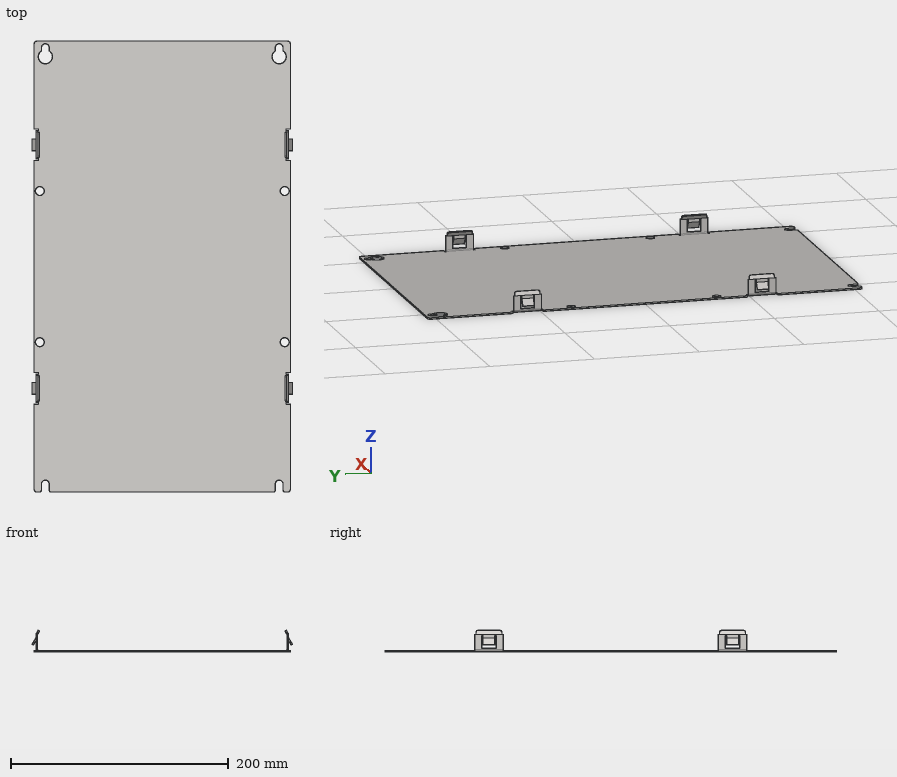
import cadquery as cq
import math

PLATE_WIDTH = 236.0
PLATE_LENGTH = 415.0
SHEET = 1.5
CORNER_RADIUS = 3.0
HALF_WIDTH = PLATE_WIDTH / 2
HALF_LENGTH = PLATE_LENGTH / 2

OVERALL_WIDTH = 239.58
OVERALL_HEIGHT = 19.96

MOUNT_X = 107.5
SLOT_WIDTH = 7.0
KEYHOLE_DIAMETER = 12.8
KEYHOLE_Y = HALF_LENGTH - 14.5
KEYHOLE_NECK_Y = HALF_LENGTH - 6.2
OPEN_SLOT_DEPTH = 11.0
SLOT_MOUTH_RADIUS = 2.0

SIDE_HOLE_DIAMETER = 8.0
SIDE_HOLE_X = HALF_WIDTH - 5.4
SIDE_HOLE_Y = 69.5

LEAN_ANGLE = math.radians(30.0)
CLIP_Y = 112.0
CLIP_WIDTH = 26.4
CLIP_INSET = 1.7
RELIEF_GAP = 1.2
INNER_BEND_RADIUS = 0.8
BEND_RADIUS = SHEET + INNER_BEND_RADIUS
LIP_START_Z = 16.2
LIP_INNER_START_Z = LIP_START_Z - SHEET * math.tan(LEAN_ANGLE / 2)
LIP_WIDTH = 24.0
LIP_CORNER_RADIUS = 2.0
CLIP_OUTER_X = HALF_WIDTH - CLIP_INSET
CLIP_INNER_X = CLIP_OUTER_X - SHEET
BEND_X = CLIP_OUTER_X - BEND_RADIUS

WINDOW_WIDTH = 13.0
WINDOW_BOTTOM_Z = 3.5
WINDOW_TOP_Z = 15.0
TONGUE_WIDTH = 11.0
TONGUE_TIP_Z = 7.0
TONGUE_REACH = OVERALL_WIDTH / 2 - CLIP_OUTER_X
TONGUE_ROOT_Z = TONGUE_TIP_Z + TONGUE_REACH / math.tan(LEAN_ANGLE)


def both_sides(solid):
    """Join a solid with its mirror image across the YZ plane."""
    return solid.union(solid.mirror("YZ"))


def extrude_along_y(outline, width):
    """Extrude an XZ outline symmetrically about Y = 0."""
    return outline.extrude(width / 2, both=True)


def box_between(x_min, x_max, width, z_min, z_max):
    """Box centred on Y = 0."""
    box = cq.Workplane("XY").box(x_max - x_min, width, z_max - z_min, centered=(False, True, False))
    return box.translate((x_min, 0, z_min))


def make_plate():
    plate = cq.Workplane("XY").rect(PLATE_WIDTH, PLATE_LENGTH).extrude(SHEET)
    return plate.edges("|Z").fillet(CORNER_RADIUS)


def cut_keyholes(plate):
    bulb = cq.Workplane("XY").center(MOUNT_X, KEYHOLE_Y).circle(KEYHOLE_DIAMETER / 2).extrude(SHEET)
    neck_length = KEYHOLE_NECK_Y - KEYHOLE_Y
    neck = (
        cq.Workplane("XY")
        .center(MOUNT_X, KEYHOLE_Y + neck_length / 2)
        .slot2D(neck_length + SLOT_WIDTH, SLOT_WIDTH, 90)
        .extrude(SHEET)
    )
    return plate.cut(both_sides(bulb.union(neck)))


def cut_open_slots(plate):
    left = MOUNT_X - SLOT_WIDTH / 2
    right = MOUNT_X + SLOT_WIDTH / 2
    slot_top = OPEN_SLOT_DEPTH - HALF_LENGTH
    arc_start = slot_top - SLOT_WIDTH / 2
    mouth_top = SLOT_MOUTH_RADIUS - HALF_LENGTH
    slot = (
        cq.Workplane("XY")
        .moveTo(left - SLOT_MOUTH_RADIUS, -HALF_LENGTH)
        .radiusArc((left, mouth_top), -SLOT_MOUTH_RADIUS)
        .lineTo(left, arc_start)
        .threePointArc((MOUNT_X, slot_top), (right, arc_start))
        .lineTo(right, mouth_top)
        .radiusArc((right + SLOT_MOUTH_RADIUS, -HALF_LENGTH), -SLOT_MOUTH_RADIUS)
        .close()
        .extrude(SHEET)
    )
    return plate.cut(both_sides(slot))


def cut_side_holes(plate):
    centres = [(x, y) for x in (-SIDE_HOLE_X, SIDE_HOLE_X) for y in (-SIDE_HOLE_Y, SIDE_HOLE_Y)]
    holes = cq.Workplane("XY").pushPoints(centres).circle(SIDE_HOLE_DIAMETER / 2).extrude(SHEET)
    return plate.cut(holes)


def make_wall():
    """Bend rising out of the plate and the upright wall above it."""
    outline = (
        cq.Workplane("XZ")
        .moveTo(BEND_X, 0)
        .radiusArc((CLIP_OUTER_X, BEND_RADIUS), -BEND_RADIUS)
        .lineTo(CLIP_OUTER_X, LIP_START_Z)
        .lineTo(CLIP_INNER_X, LIP_INNER_START_Z)
        .lineTo(CLIP_INNER_X, BEND_RADIUS)
        .radiusArc((BEND_X, SHEET), INNER_BEND_RADIUS)
        .close()
    )
    return extrude_along_y(outline, CLIP_WIDTH)


def make_lip():
    """Narrower lip leaning inward from the top of the wall, with rounded corners."""
    outer_x = CLIP_OUTER_X - (OVERALL_HEIGHT - LIP_START_Z) * math.tan(LEAN_ANGLE)
    inner_x = outer_x - SHEET * math.cos(LEAN_ANGLE)
    inner_z = OVERALL_HEIGHT - SHEET * math.sin(LEAN_ANGLE)
    outline = (
        cq.Workplane("XZ")
        .moveTo(CLIP_OUTER_X, LIP_START_Z)
        .lineTo(outer_x, OVERALL_HEIGHT)
        .lineTo(inner_x, inner_z)
        .lineTo(CLIP_INNER_X, LIP_INNER_START_Z)
        .close()
    )
    lip = extrude_along_y(outline, LIP_WIDTH)
    end_middle_x = (outer_x + inner_x) / 2
    end_middle_z = (OVERALL_HEIGHT + inner_z) / 2
    for side in (-1, 1):
        corner = (end_middle_x, side * LIP_WIDTH / 2, end_middle_z)
        lip = lip.edges(cq.selectors.NearestToPointSelector(corner)).fillet(LIP_CORNER_RADIUS)
    return lip


def make_tongue():
    """Catch hinged at the top of the window, its free lower end leaning outward."""
    tip_x = CLIP_OUTER_X + TONGUE_REACH
    outline = (
        cq.Workplane("XZ")
        .moveTo(CLIP_OUTER_X, WINDOW_TOP_Z)
        .lineTo(CLIP_OUTER_X, TONGUE_ROOT_Z)
        .lineTo(tip_x, TONGUE_TIP_Z)
        .lineTo(tip_x - SHEET * math.cos(LEAN_ANGLE), TONGUE_TIP_Z - SHEET * math.sin(LEAN_ANGLE))
        .lineTo(CLIP_INNER_X, TONGUE_ROOT_Z - SHEET * math.tan(LEAN_ANGLE / 2))
        .lineTo(CLIP_INNER_X, WINDOW_TOP_Z)
        .close()
    )
    return extrude_along_y(outline, TONGUE_WIDTH)


def make_clip():
    window = box_between(CLIP_INNER_X, CLIP_OUTER_X, WINDOW_WIDTH, WINDOW_BOTTOM_Z, WINDOW_TOP_Z)
    return make_wall().cut(window).union(make_lip()).union(make_tongue())


def add_clips(plate):
    clip = make_clip()
    notch = box_between(BEND_X, HALF_WIDTH, CLIP_WIDTH + 2 * RELIEF_GAP, 0, SHEET)
    for y in (-CLIP_Y, CLIP_Y):
        plate = plate.cut(both_sides(notch.translate((0, y, 0))))
        plate = plate.union(both_sides(clip.translate((0, y, 0))))
    return plate


result = make_plate()
result = cut_keyholes(result)
result = cut_open_slots(result)
result = cut_side_holes(result)
result = add_clips(result)